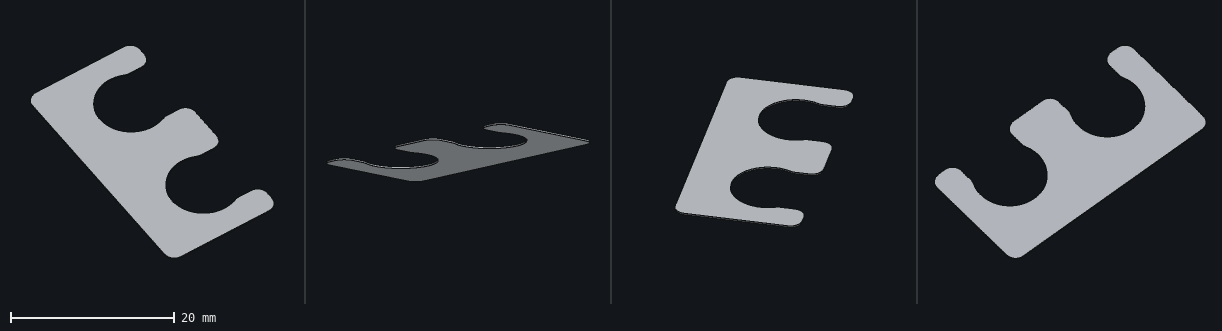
import cadquery as cq

length = 31.75
width = 16.0
thickness = 0.25
corner_radius = 1.5

slot_spacing = 15.72
hole_radius = 4.57
hole_depth = 5.78
mouth_width = 8.1
neck_radius = 1.5

hole_y = width / 2 - hole_depth
neck_y = hole_y + (hole_radius**2 - (mouth_width / 2) ** 2) ** 0.5
slot_centres = (-slot_spacing / 2, slot_spacing / 2)


def slot_cutter(centre_x):
    """Round hole joined to a straight mouth that reaches the +Y edge."""
    hole = cq.Workplane("XY").center(centre_x, hole_y).circle(hole_radius).extrude(thickness)
    mouth = (
        cq.Workplane("XY")
        .center(centre_x, hole_y + hole_depth / 2)
        .rect(mouth_width, hole_depth)
        .extrude(thickness)
    )
    return hole.union(mouth)


def upright_edge_at(body, x, y):
    """Select the upright edge of the plate at the given X, Y position."""
    return body.edges("|Z").edges(cq.selectors.NearestToPointSelector((x, y, thickness / 2)))


result = cq.Workplane("XY").rect(length, width).extrude(thickness)
for slot_x in slot_centres:
    result = result.cut(slot_cutter(slot_x))

for slot_x in slot_centres:
    for side in (-1, 1):
        wall_x = slot_x + side * mouth_width / 2
        result = upright_edge_at(result, wall_x, neck_y).fillet(neck_radius)

for slot_x in slot_centres:
    for side in (-1, 1):
        wall_x = slot_x + side * mouth_width / 2
        result = upright_edge_at(result, wall_x, width / 2).fillet(corner_radius)

for corner_x in (-length / 2, length / 2):
    for corner_y in (-width / 2, width / 2):
        result = upright_edge_at(result, corner_x, corner_y).fillet(corner_radius)